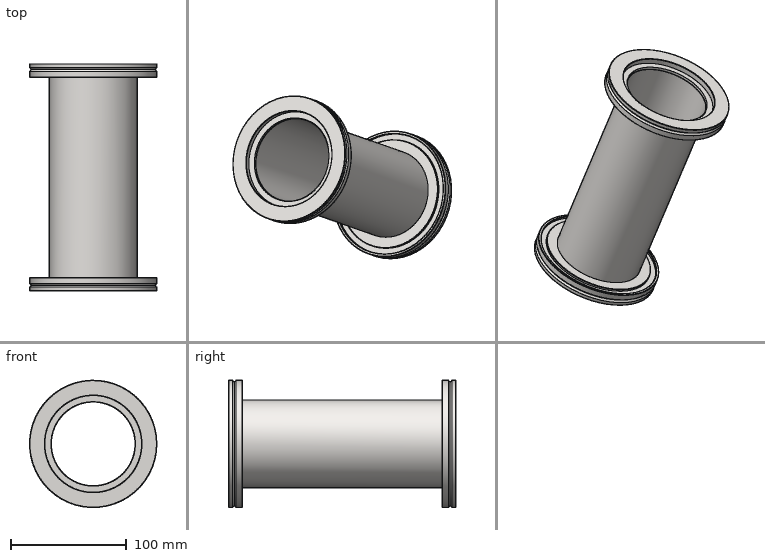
import cadquery as cq

total_length = 196.0
flange_diameter = 110.0
flange_thickness = 11.8

tube_outer_diameter = 76.0
tube_bore_diameter = 72.1

recess_diameter = 83.5
recess_depth = 4.9

lip_bore_diameter = 73.0
lip_thickness = 2.4

rim_groove_offset = 4.9
rim_groove_depth = 1.5

back_groove_outer_diameter = 105.0
back_groove_inner_diameter = 94.9
back_groove_depth = 2.0

edge_chamfer = 0.4

half_length = total_length / 2
flange_radius = flange_diameter / 2
tube_end_offset = recess_depth + lip_thickness


def make_tube():
    """Plain pipe whose ends sit in the sockets of the two flanges."""
    tube_length = total_length - 2 * tube_end_offset
    return (
        cq.Workplane("XZ")
        .circle(tube_outer_diameter / 2)
        .circle(tube_bore_diameter / 2)
        .extrude(tube_length)
        .translate((0, tube_length / 2, 0))
    )


def make_flange(end):
    """Flange at the -Y end (end = -1) or the +Y end (end = 1)."""

    def station(offset):
        """Y position at a distance inward from the sealing face."""
        return end * (half_length - offset)

    back = station(flange_thickness)
    groove_floor = station(flange_thickness - back_groove_depth)
    chamfer_foot = station(flange_thickness - edge_chamfer)
    section = [
        (recess_diameter / 2, station(edge_chamfer)),
        (recess_diameter / 2 + edge_chamfer, station(0)),
        (flange_radius - edge_chamfer, station(0)),
        (flange_radius, station(edge_chamfer)),
        (flange_radius, station(rim_groove_offset - rim_groove_depth)),
        (flange_radius - rim_groove_depth, station(rim_groove_offset)),
        (flange_radius, station(rim_groove_offset + rim_groove_depth)),
        (flange_radius, chamfer_foot),
        (flange_radius - edge_chamfer, back),
        (back_groove_outer_diameter / 2 + edge_chamfer, back),
        (back_groove_outer_diameter / 2, chamfer_foot),
        (back_groove_outer_diameter / 2, groove_floor),
        (back_groove_inner_diameter / 2, groove_floor),
        (back_groove_inner_diameter / 2, chamfer_foot),
        (back_groove_inner_diameter / 2 - edge_chamfer, back),
        (tube_outer_diameter / 2, back),
        (tube_outer_diameter / 2, station(tube_end_offset)),
        (lip_bore_diameter / 2, station(tube_end_offset)),
        (lip_bore_diameter / 2, station(recess_depth)),
        (recess_diameter / 2, station(recess_depth)),
    ]
    return cq.Workplane("XY").polyline(section).close().revolve(360, (0, 0, 0), (0, 1, 0))


tube = make_tube()
flanges = [make_flange(end) for end in (-1, 1)]

result = cq.Compound.makeCompound([tube.val(), *[flange.val() for flange in flanges]])